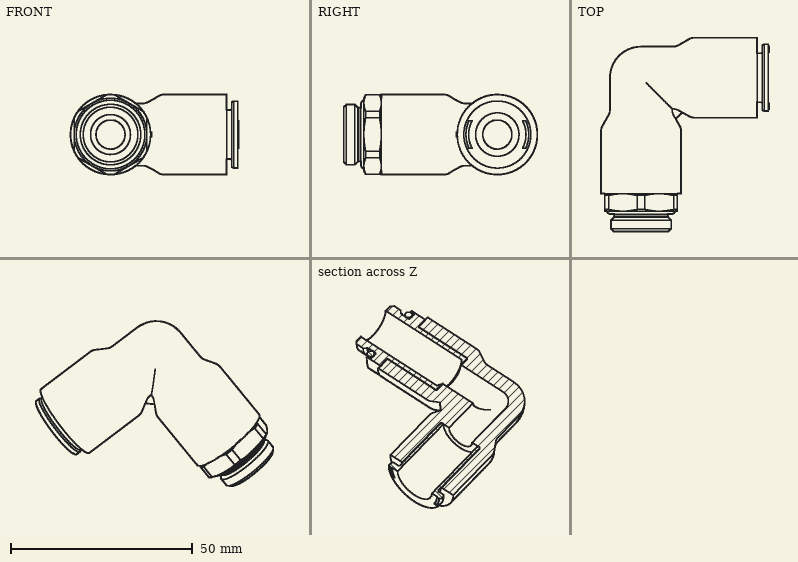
import cadquery as cq
import math


arm_radius = 11.05
neck_radius = 8.6
flare_start = 9.65
flare_angle = 30
flare_round = 3.0
arm_length = 31.95
passage_radius = 4.0
socket_radius = 6.8
socket_floor = 14.75
web_thickness = 1.2
web_reach = 20.95
web_inset = 6.4

tube_radius = 6.0
flange_start = 33.3
flange_end = 35.1
flange_radius = 9.25
root_fillet = 0.25
flange_bevel_length = 0.55
flange_bevel_depth = 0.3
flange_round = 0.15
pad_height = 0.15
pad_inner_radius = 7.9
pad_outer_radius = 8.65
pad_width = 7.5

adapter_end = 42.35
adapter_bore_radius = 5.5
bore_taper_length = 0.9
hex_across_flats = 20.0
hex_corner_radius = 11.0
hex_end = 36.75
hex_bevel_length = 0.5
root_radius = 7.4
root_end = 38.15
thread_core_radius = 7.55
thread_radius = 8.35
thread_runout_end = 39.25
thread_tip_bevel = 0.8

ring_section_radius = 1.0
ring_projection = 0.8
ring_radius = root_radius + ring_section_radius
ring_station = hex_end + ring_projection - ring_section_radius


def revolve_on_x(profile):
    """Turn a half profile drawn as (station, radius) around the X axis."""
    return profile.close().revolve(360, (0, 0, 0), (1, 0, 0))


def cylinder_on_x(radius, start, end):
    """Solid cylinder along X between two stations."""
    return cq.Workplane("YZ", origin=(start, 0, 0)).circle(radius).extrude(end - start)


def swing_to_y(shape):
    """Swing a shape built along +X so that it lies along -Y."""
    return shape.rotate((0, 0, 0), (0, 0, 1), -90)


def make_arm():
    """Outside of one arm: slim neck, rounded flare and wide cylinder."""
    slope = math.radians(flare_angle)
    flare_end = flare_start + (arm_radius - neck_radius) / math.tan(slope)
    tangent = flare_round * math.tan(slope / 2)
    mid_run = flare_round * math.sin(slope / 2)
    mid_rise = flare_round * (1 - math.cos(slope / 2))
    along = tangent * math.cos(slope)
    across = tangent * math.sin(slope)
    return revolve_on_x(
        cq.Workplane("XY")
        .lineTo(0, neck_radius)
        .lineTo(flare_start - tangent, neck_radius)
        .threePointArc(
            (flare_start - tangent + mid_run, neck_radius + mid_rise),
            (flare_start + along, neck_radius + across),
        )
        .lineTo(flare_end - along, arm_radius - across)
        .threePointArc(
            (flare_end + tangent - mid_run, arm_radius - mid_rise),
            (flare_end + tangent, arm_radius),
        )
        .lineTo(arm_length, arm_radius)
        .lineTo(arm_length, 0)
    )


def make_web():
    """Thin web bridging the two arms in the inner corner."""
    web_far = web_reach - web_inset
    return (
        cq.Workplane("XY")
        .polyline([(web_inset, -web_inset), (web_far, -web_inset), (web_inset, -web_far)])
        .close()
        .extrude(web_thickness / 2, both=True)
    )


def make_elbow():
    """Elbow housing with a bent passage and a socket in each arm."""
    arm = make_arm()
    round_corner = cq.Workplane("XY").sphere(neck_radius)
    outside = round_corner.union(arm).union(swing_to_y(arm)).union(make_web())
    passage = cylinder_on_x(passage_radius, 0, arm_length)
    socket = cylinder_on_x(socket_radius, socket_floor, arm_length)
    hollow = passage.union(socket)
    passage_corner = cq.Workplane("XY").sphere(passage_radius)
    return outside.cut(passage_corner).cut(hollow).cut(swing_to_y(hollow))


def make_collet():
    """Release collet: sleeve in the socket, flange and two low end pads."""
    bevel_end = flange_start + flange_bevel_length
    body = revolve_on_x(
        cq.Workplane("XY")
        .moveTo(socket_floor, tube_radius)
        .lineTo(socket_floor, socket_radius)
        .lineTo(flange_start - root_fillet, socket_radius)
        .radiusArc((flange_start, socket_radius + root_fillet), -root_fillet)
        .lineTo(flange_start, flange_radius - flange_bevel_depth)
        .lineTo(bevel_end, flange_radius)
        .lineTo(flange_end - flange_round, flange_radius)
        .radiusArc((flange_end, flange_radius - flange_round), flange_round)
        .lineTo(flange_end, tube_radius)
    )
    pad_end = flange_end + pad_height
    pad_ring = cylinder_on_x(pad_outer_radius, flange_end, pad_end)
    pad_ring = pad_ring.cut(cylinder_on_x(pad_inner_radius, flange_end, pad_end))
    pad_band = cq.Workplane("XY").box(2 * pad_end, 2 * flange_radius, pad_width)
    return body.union(pad_ring.intersect(pad_band))


def make_hexagon():
    """Hexagon with turned corners and beveled end faces."""
    bevel_radius = hex_across_flats / 2
    prism = (
        cq.Workplane("YZ", origin=(arm_length, 0, 0))
        .polygon(6, hex_across_flats, circumscribed=True)
        .extrude(hex_end - arm_length)
    )
    turned = revolve_on_x(
        cq.Workplane("XY")
        .moveTo(arm_length, 0)
        .lineTo(arm_length, bevel_radius)
        .lineTo(arm_length + hex_bevel_length, hex_corner_radius)
        .lineTo(hex_end - hex_bevel_length, hex_corner_radius)
        .lineTo(hex_end, bevel_radius)
        .lineTo(hex_end, 0)
    )
    return prism.intersect(turned)


def make_adapter():
    """Threaded adapter: spigot in the socket, hexagon, O-ring groove and thread."""
    groove_floor = ring_station - ring_section_radius
    groove_radius = ring_radius + ring_section_radius
    spigot = cylinder_on_x(socket_radius, socket_floor, arm_length)
    groove = cylinder_on_x(groove_radius, groove_floor, hex_end)
    stud = revolve_on_x(
        cq.Workplane("XY")
        .moveTo(groove_floor, 0)
        .lineTo(groove_floor, root_radius)
        .lineTo(root_end, root_radius)
        .lineTo(root_end, thread_core_radius)
        .lineTo(thread_runout_end - (thread_radius - thread_core_radius), thread_core_radius)
        .lineTo(thread_runout_end, thread_radius)
        .lineTo(adapter_end - thread_tip_bevel, thread_radius)
        .lineTo(adapter_end, thread_radius - thread_tip_bevel)
        .lineTo(adapter_end, 0)
    )
    bore = revolve_on_x(
        cq.Workplane("XY")
        .moveTo(socket_floor, 0)
        .lineTo(socket_floor, passage_radius)
        .lineTo(socket_floor + bore_taper_length, adapter_bore_radius)
        .lineTo(adapter_end, adapter_bore_radius)
        .lineTo(adapter_end, 0)
    )
    along_x = make_hexagon().cut(groove).union(spigot).union(stud).cut(bore)
    return swing_to_y(along_x)


def make_o_ring():
    """O-ring lying in the groove of the adapter's hexagon."""
    along_x = (
        cq.Workplane("XY")
        .center(ring_station, ring_radius)
        .circle(ring_section_radius)
        .revolve(360, (-ring_station, -ring_radius, 0), (0.55 - ring_station, -ring_radius, 0))
    )
    return swing_to_y(along_x)


elbow = make_elbow()
collet = make_collet()
adapter = make_adapter()
o_ring = make_o_ring()

result = cq.Compound.makeCompound([
    elbow.solids().val(),
    collet.solids().val(),
    adapter.solids().val(),
    o_ring.solids().val(),
])